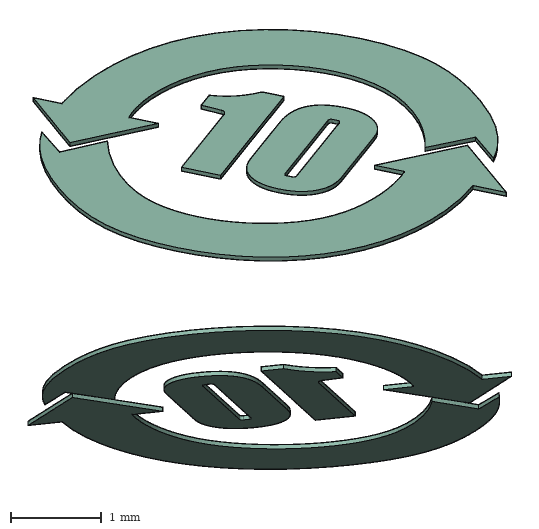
import cadquery as cq

THICKNESS = 0.05

UP = 1
DOWN = -1

LEFT_HEAD_X = -2.06
LEFT_HEAD_BASE_Y = -0.06
LEFT_HEAD_HALF_WIDTH = 0.75
LEFT_HEAD_LENGTH = 0.76
LEFT_OUTER_EDGE = [
    (-2.465, LEFT_HEAD_BASE_Y), (-2.305, 0.815), (-1.73, 1.775), (-0.91, 2.315), (0.09, 2.495),
    (0.97, 2.32), (1.8, 1.725), (2.23, 1.145), (2.395, 0.63),
]
LEFT_INNER_EDGE = [
    (1.61, 0.555), (1.26, 1.16), (0.72, 1.575), (0.11, 1.72),
    (-0.505, 1.635), (-1.105, 1.31), (-1.495, 0.805), (-1.67, LEFT_HEAD_BASE_Y),
]
LEFT_TAIL_NOTCH = (2.04, 0.98)

RIGHT_HEAD_X = 2.025
RIGHT_HEAD_BASE_Y = -0.01
RIGHT_HEAD_HALF_WIDTH = 0.785
RIGHT_HEAD_LENGTH = 0.79
RIGHT_OUTER_EDGE = [
    (2.41, RIGHT_HEAD_BASE_Y), (2.29, -0.805), (1.83, -1.65), (1.07, -2.24), (-0.085, -2.495),
    (-1.045, -2.32), (-1.85, -1.735), (-2.235, -1.23), (-2.44, -0.72),
]
RIGHT_INNER_EDGE = [
    (-1.69, -0.63), (-1.315, -1.23), (-0.775, -1.65), (-0.21, -1.78),
    (0.56, -1.65), (1.2, -1.225), (1.52, -0.635), (1.595, RIGHT_HEAD_BASE_Y),
]
RIGHT_TAIL_NOTCH = (-2.09, -1.05)

STEM_LEFT = -0.72
STEM_RIGHT = -0.255
STEM_BOTTOM = -0.855
STEM_TOP = 1.005
FLAG_LEFT = -1.03
FLAG_OUTER_BOTTOM = 0.485
FLAG_INNER_BOTTOM = 0.46
FLAG_TOP = 0.72
FLAG_CURVE_MIDDLE = (-0.74, 0.82)
FLAG_CURVE_END_X = -0.515
FLAG_FILLET = 0.07

ZERO_LEFT = -0.085
ZERO_RIGHT = 1.0
ZERO_BOTTOM = -0.89
ZERO_TOP = 1.035
ZERO_RIGHT_SHOULDER_Y = 0.56
ZERO_LEFT_SHOULDER_Y = 0.45
ZERO_FOOT_Y = -0.395
ZERO_CORNER_INSET = 0.14
SLOT_LEFT = 0.395
SLOT_RIGHT = 0.53
SLOT_BOTTOM = -0.585
SLOT_TOP = 0.74
SLOT_FILLET = 0.035


def make_arrow(head_x, base_y, half_width, head_length, outer_edge, inner_edge, notch, pointing):
    """Curved arrow: a smoothly bent shaft that runs from the head to a V-notched tail."""
    inner_corner_x = head_x - pointing * half_width
    outer_corner_x = head_x + pointing * half_width
    return (
        cq.Workplane("XY")
        .moveTo(*outer_edge[0])
        .spline(outer_edge[1:], includeCurrent=True)
        .lineTo(*notch)
        .lineTo(*inner_edge[0])
        .spline(inner_edge[1:], includeCurrent=True)
        .lineTo(inner_corner_x, base_y)
        .lineTo(head_x, base_y + pointing * head_length)
        .lineTo(outer_corner_x, base_y)
        .close()
        .extrude(THICKNESS)
    )


def make_digit_one():
    """Digit 1 with a curved flag top and a small fillet where the flag meets the stem."""
    digit = (
        cq.Workplane("XY")
        .moveTo(STEM_LEFT, STEM_BOTTOM)
        .lineTo(STEM_RIGHT, STEM_BOTTOM)
        .lineTo(STEM_RIGHT, STEM_TOP)
        .lineTo(FLAG_CURVE_END_X, STEM_TOP)
        .threePointArc(FLAG_CURVE_MIDDLE, (FLAG_LEFT, FLAG_TOP))
        .lineTo(FLAG_LEFT, FLAG_OUTER_BOTTOM)
        .lineTo(STEM_LEFT, FLAG_INNER_BOTTOM)
        .close()
        .extrude(THICKNESS)
    )
    inner_corner = cq.selectors.NearestToPointSelector((STEM_LEFT, FLAG_INNER_BOTTOM, THICKNESS / 2))
    return digit.edges(inner_corner).fillet(FLAG_FILLET)


def make_digit_zero():
    """Digit 0: straight sides joined by rounded ends, with a slot through the middle."""
    center_x = (ZERO_LEFT + ZERO_RIGHT) / 2
    corner_left = ZERO_LEFT + ZERO_CORNER_INSET
    corner_right = ZERO_RIGHT - ZERO_CORNER_INSET
    corner_bottom = ZERO_BOTTOM + ZERO_CORNER_INSET
    corner_top = ZERO_TOP - ZERO_CORNER_INSET
    to_left = (-1, 0)
    to_right = (1, 0)
    upward = (0, 1)
    downward = (0, -1)
    top_right = [(corner_right, corner_top), (center_x, ZERO_TOP)]
    top_left = [(corner_left, corner_top), (ZERO_LEFT, ZERO_LEFT_SHOULDER_Y)]
    bottom_left = [(corner_left, corner_bottom), (center_x, ZERO_BOTTOM)]
    bottom_right = [(corner_right, corner_bottom), (ZERO_RIGHT, ZERO_FOOT_Y)]
    ring = (
        cq.Workplane("XY")
        .moveTo(ZERO_RIGHT, ZERO_RIGHT_SHOULDER_Y)
        .spline(top_right, tangents=[upward, to_left], includeCurrent=True)
        .spline(top_left, tangents=[to_left, downward], includeCurrent=True)
        .lineTo(ZERO_LEFT, ZERO_FOOT_Y)
        .spline(bottom_left, tangents=[downward, to_right], includeCurrent=True)
        .spline(bottom_right, tangents=[to_right, upward], includeCurrent=True)
        .close()
        .extrude(THICKNESS)
    )
    slot = (
        cq.Workplane("XY")
        .center((SLOT_LEFT + SLOT_RIGHT) / 2, (SLOT_BOTTOM + SLOT_TOP) / 2)
        .rect(SLOT_RIGHT - SLOT_LEFT, SLOT_TOP - SLOT_BOTTOM)
        .extrude(THICKNESS)
        .edges("|Z")
        .fillet(SLOT_FILLET)
    )
    return ring.cut(slot)


left_arrow = make_arrow(
    LEFT_HEAD_X, LEFT_HEAD_BASE_Y, LEFT_HEAD_HALF_WIDTH, LEFT_HEAD_LENGTH,
    LEFT_OUTER_EDGE, LEFT_INNER_EDGE, LEFT_TAIL_NOTCH, DOWN,
)
right_arrow = make_arrow(
    RIGHT_HEAD_X, RIGHT_HEAD_BASE_Y, RIGHT_HEAD_HALF_WIDTH, RIGHT_HEAD_LENGTH,
    RIGHT_OUTER_EDGE, RIGHT_INNER_EDGE, RIGHT_TAIL_NOTCH, UP,
)
digit_one = make_digit_one()
digit_zero = make_digit_zero()

result = cq.Compound.makeCompound(
    [left_arrow.val(), right_arrow.val(), digit_one.val(), digit_zero.val()]
)